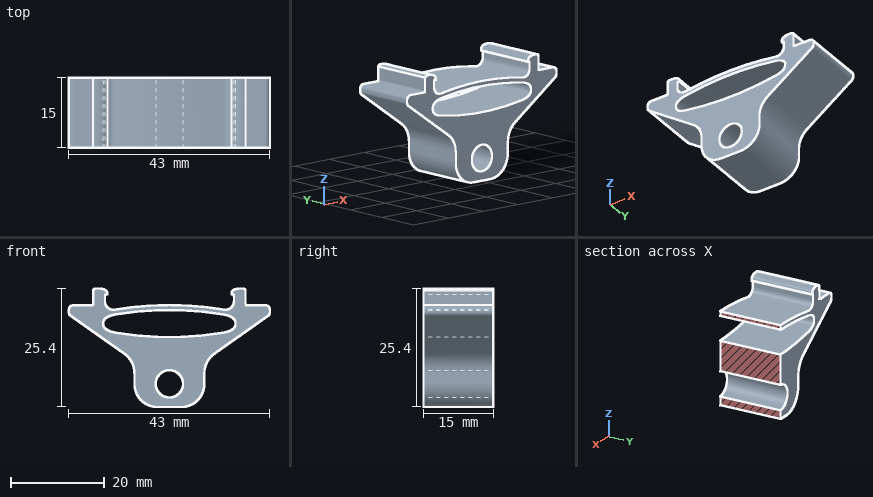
import cadquery as cq
import math

width = 43.0
depth = 15.0
height = 25.4
half_width = width / 2

stem_half_width = 7.5
stem_corner_radius = 5.0
stem_blend_radius = 5.0
hole_diameter = 5.8
hole_height = 5.0

wing_top = 21.8
wing_corner_height = 19.8
wing_tip_radius = 1.0
flank_angle = math.radians(35.2)

web_top = 21.85
web_thickness = 1.1
arch_radius = 70.0

lip_outer_x = 16.3
lip_inner_x = 13.75
lip_tip_x = 13.25
lip_underside = 24.05
lip_underside_radius = 0.2
lip_side_top = 24.98
lip_shoulder = (15.95, 25.33)
lip_crown_x = 15.45
lip_brow = (14.4, 25.32)
lip_nose = (13.62, 25.0)
lip_nose_front = (13.31, 24.6)
lip_base_radius = 0.25
lip_root_radius = 1.75

slot_top = web_top - web_thickness
slot_bottom = 15.0
slot_mid = (slot_top + slot_bottom) / 2
slot_tip_x = 14.15
slot_arc_end_x = 11.6


def arch_drop(x, radius):
    """Fall of a circular arch from its crown at distance x from the middle."""
    return radius - math.sqrt(radius**2 - x**2)


stem_blend_corner = wing_corner_height - (half_width - stem_half_width) * math.tan(flank_angle)
web_end_height = web_top - arch_drop(lip_inner_x, arch_radius)


def round_edges(body, x, z, radius):
    """Fillet the pair of depthwise edges at (-x, z) and (x, z)."""
    for side in (-1, 1):
        edge = cq.selectors.NearestToPointSelector((side * x, 0, z))
        body = body.edges("|Y").edges(edge).fillet(radius)
    return body


def half_body():
    """Right half of the body, from the middle plane out to the wing tip."""
    return (
        cq.Workplane("XZ", origin=(0, depth / 2, 0))
        .moveTo(0, 0)
        .lineTo(stem_half_width, 0)
        .lineTo(stem_half_width, stem_blend_corner)
        .lineTo(half_width, wing_corner_height)
        .lineTo(half_width, wing_top)
        .lineTo(lip_outer_x, wing_top)
        .lineTo(lip_outer_x, lip_side_top)
        .spline(
            [
                lip_shoulder,
                (lip_crown_x, height),
                lip_brow,
                lip_nose,
                lip_nose_front,
                (lip_tip_x, lip_underside),
            ],
            includeCurrent=True,
        )
        .lineTo(lip_inner_x, lip_underside)
        .lineTo(lip_inner_x, web_end_height)
        .threePointArc(
            (lip_inner_x / 2, web_top - arch_drop(lip_inner_x / 2, arch_radius)),
            (0, web_top),
        )
        .close()
        .extrude(depth)
    )


def rounded_body():
    right = half_body()
    body = right.union(right.mirror("YZ")).clean()
    corners = [
        (stem_half_width, 0, stem_corner_radius),
        (stem_half_width, stem_blend_corner, stem_blend_radius),
        (half_width, wing_corner_height, wing_tip_radius),
        (half_width, wing_top, wing_tip_radius),
        (lip_outer_x, wing_top, lip_base_radius),
        (lip_inner_x, lip_underside, lip_underside_radius),
        (lip_inner_x, web_end_height, lip_root_radius),
    ]
    for x, z, radius in corners:
        body = round_edges(body, x, z, radius)
    return body


def slot():
    """Lens between two shallow arcs, closed by smooth rounded ends."""
    drop = arch_drop(slot_arc_end_x, arch_radius)
    slope = slot_arc_end_x / math.sqrt(arch_radius**2 - slot_arc_end_x**2)
    upper = slot_top - drop
    lower = slot_bottom + drop
    return (
        cq.Workplane("XZ")
        .moveTo(-slot_arc_end_x, upper)
        .threePointArc((0, slot_top), (slot_arc_end_x, upper))
        .spline(
            [(slot_tip_x, slot_mid), (slot_arc_end_x, lower)],
            tangents=[(1, -slope), (-1, -slope)],
            includeCurrent=True,
        )
        .threePointArc((0, slot_bottom), (-slot_arc_end_x, lower))
        .spline(
            [(-slot_tip_x, slot_mid), (-slot_arc_end_x, upper)],
            tangents=[(-1, slope), (1, slope)],
            includeCurrent=True,
        )
        .close()
        .extrude(depth, both=True)
    )


def cross_hole():
    return (
        cq.Workplane("XZ")
        .center(0, hole_height)
        .circle(hole_diameter / 2)
        .extrude(depth, both=True)
    )


result = rounded_body().cut(slot()).cut(cross_hole())